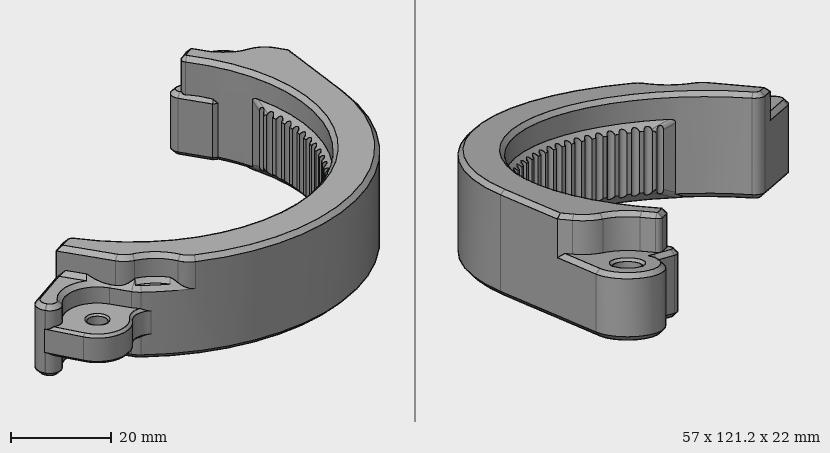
import cadquery as cq
import math

HEIGHT = 22.0
OUTER_R = 49.25
INNER_R = 40.0
EDGE_CHAMFER = 1.0

HINGE_X = -0.1
HINGE_Y = 53.6
HINGE_R = 7.6
HINGE_HEIGHT = 14.0
HINGE_HOLE_D = 6.0
HINGE_HOLE_CHAMFER_D = 7.2
HINGE_CLEARANCE_R = 8.6
HINGE_STEP_Y = 50.95
HINGE_STEP_BLEND_R = 7.0
HINGE_END_X = -4.4
HINGE_END_CORNER_R = 1.2
HINGE_STEP_CORNER_R = 1.1

HOOK_X = -4.45
HOOK_R = 2.3
HOOK_PAD_Y = 39.2
HOOK_Y = HOOK_PAD_Y + HOOK_R
HOOK_NOTCH_X = -4.2
HOOK_NOTCH_Y = 46.8
HOOK_PAD_END_X = 2.9
HOOK_PAD_RAMP = 1.2

SCREW_X = 12.0
SCREW_Y = -53.0
SCREW_HOLE_D = 4.2
SCREW_HOLE_CHAMFER = 0.4
TAB_R = 7.0
TAB_BOTTOM = 5.0
TAB_TOP = 11.4
TAB_CHAMFER = 0.6
TAB_BLEND_R = 4.0

FOOT_HEIGHT = 16.0
FINGER_TIP_X = 0.2
FINGER_TIP_Y = -59.5
FINGER_ROOT_X = 0.65
FINGER_ROOT_Y = -42.0
FINGER_OUTER_R = 3.0
FINGER_INNER_R = 2.5
FOOT_CORNER_R = 2.2
FOOT_BLEND_R = 5.0
FOOT_WALL_Y = -45.5
RELIEF_X = 23.6
RELIEF_Y = -51.2
RELIEF_R = 10.0

PAD_MID_ANGLE = 4.4
PAD_HALF_ANGLE = 68.7
PAD_R = 38.4
PAD_BOTTOM = 0.6
PAD_TOP = 16.5
PAD_CORNER_R = 1.5
PAD_BACK_R = 41.2
GROOVE_COUNT = 33
GROOVE_PITCH_ANGLE = 4.0
GROOVE_R = 0.85
GROOVE_AXIS_R = 38.3

HIDDEN_R = 43.5


def polar(radius, angle):
    return (radius * math.cos(math.radians(angle)), radius * math.sin(math.radians(angle)))


def circle_y(radius, x, side):
    """Height of an origin-centred circle at x, on the +Y (1) or -Y (-1) side."""
    return side * math.sqrt(radius**2 - x**2)


def finger_x(y):
    """X of the leaning end face at the given Y."""
    lean = (FINGER_ROOT_X - FINGER_TIP_X) / (FINGER_ROOT_Y - FINGER_TIP_Y)
    return FINGER_TIP_X + lean * (y - FINGER_TIP_Y)


def cylinder(x, y, radius, bottom, top):
    return cq.Workplane("XY", origin=(x, y, bottom)).circle(radius).extrude(top - bottom)


def round_corner(solid, x, y, radius):
    """Fillet the upright edge nearest to (x, y)."""
    middle = solid.val().BoundingBox().center.z
    selector = cq.selectors.NearestToPointSelector((x, y, middle))
    return solid.edges("|Z").edges(selector).fillet(radius)


HINGE_DISTANCE = math.hypot(HINGE_X, HINGE_Y)
TANGENT_ANGLE = math.degrees(
    math.atan2(HINGE_Y, HINGE_X) - math.acos((OUTER_R - HINGE_R) / HINGE_DISTANCE)
)
RING_TANGENT = polar(OUTER_R, TANGENT_ANGLE)
KNUCKLE_TANGENT = (
    HINGE_X + polar(HINGE_R, TANGENT_ANGLE)[0],
    HINGE_Y + polar(HINGE_R, TANGENT_ANGLE)[1],
)


def make_ring():
    """Full-height C-shaped ring, stepped back at both ends."""
    tangent_slope = (RING_TANGENT[1] - KNUCKLE_TANGENT[1]) / (RING_TANGENT[0] - KNUCKLE_TANGENT[0])
    step_end_x = RING_TANGENT[0] + (HINGE_STEP_Y - RING_TANGENT[1]) / tangent_slope
    step_low_y = HINGE_Y - HINGE_CLEARANCE_R
    step_corner_x = HINGE_X + math.sqrt(HINGE_CLEARANCE_R**2 - (HINGE_STEP_Y - HINGE_Y) ** 2)
    step_mid = (
        HINGE_X + HINGE_CLEARANCE_R * math.sin(math.radians(35)),
        HINGE_Y - HINGE_CLEARANCE_R * math.cos(math.radians(35)),
    )
    hinge_corner = (HINGE_END_X, circle_y(INNER_R, HINGE_END_X, 1))
    foot_corner_y = circle_y(INNER_R, FINGER_ROOT_X, -1)
    foot_corner = (finger_x(foot_corner_y), foot_corner_y)
    wall_end_x = math.sqrt(OUTER_R**2 - FOOT_WALL_Y**2)

    ring = (
        cq.Workplane("XY")
        .moveTo(*hinge_corner)
        .threePointArc((INNER_R, 0), foot_corner)
        .lineTo(finger_x(FOOT_WALL_Y), FOOT_WALL_Y)
        .lineTo(wall_end_x, FOOT_WALL_Y)
        .threePointArc((OUTER_R, 0), RING_TANGENT)
        .lineTo(step_end_x, HINGE_STEP_Y)
        .lineTo(step_corner_x, HINGE_STEP_Y)
        .threePointArc(step_mid, (HINGE_X, step_low_y))
        .lineTo(HINGE_END_X, step_low_y)
        .close()
        .extrude(HEIGHT)
    )
    ring = ring.cut(cylinder(RELIEF_X, RELIEF_Y, RELIEF_R, 0, HEIGHT))
    relief_start_x = RELIEF_X - math.sqrt(RELIEF_R**2 - (FOOT_WALL_Y - RELIEF_Y) ** 2)
    relief_end_x = RELIEF_X + RELIEF_R * math.sin(math.radians(15))
    ring = round_corner(ring, relief_start_x, FOOT_WALL_Y, FOOT_BLEND_R)
    ring = round_corner(ring, relief_end_x, circle_y(OUTER_R, relief_end_x, -1), FOOT_BLEND_R)
    ring = round_corner(ring, *foot_corner, FOOT_CORNER_R)
    ring = round_corner(ring, HINGE_END_X, step_low_y, HINGE_STEP_CORNER_R)
    ring = round_corner(ring, *hinge_corner, HINGE_END_CORNER_R)
    return round_corner(ring, step_corner_x, HINGE_STEP_Y, HINGE_STEP_BLEND_R)


def make_hinge():
    """Knuckle, lower than the ring, with its hooked nose."""
    nose_angle = math.degrees(math.atan2(HOOK_NOTCH_Y - HOOK_Y, HOOK_NOTCH_X - HOOK_X))
    notch_distance = math.hypot(HOOK_NOTCH_X - HOOK_X, HOOK_NOTCH_Y - HOOK_Y)
    nose_angle += math.degrees(math.acos(HOOK_R / notch_distance))
    nose_start = polar(HOOK_R, nose_angle)
    nose_mid = polar(HOOK_R, (nose_angle + 270) / 2)
    pad_end_x = HOOK_PAD_END_X + HOOK_PAD_RAMP
    hidden_end = polar(HIDDEN_R, TANGENT_ANGLE)
    hinge = (
        cq.Workplane("XY")
        .moveTo(HINGE_X, HINGE_Y)
        .lineTo(*KNUCKLE_TANGENT)
        .lineTo(*RING_TANGENT)
        .lineTo(*hidden_end)
        .threePointArc(polar(HIDDEN_R, 70), (pad_end_x, circle_y(HIDDEN_R, pad_end_x, 1)))
        .lineTo(pad_end_x, INNER_R)
        .lineTo(HOOK_PAD_END_X, HOOK_PAD_Y)
        .lineTo(HOOK_X, HOOK_PAD_Y)
        .threePointArc(
            (HOOK_X + nose_mid[0], HOOK_Y + nose_mid[1]),
            (HOOK_X + nose_start[0], HOOK_Y + nose_start[1]),
        )
        .lineTo(HOOK_NOTCH_X, HOOK_NOTCH_Y)
        .close()
        .extrude(HINGE_HEIGHT)
    )
    hinge = hinge.union(cylinder(HINGE_X, HINGE_Y, HINGE_R, 0, HINGE_HEIGHT))
    return hinge.faces(">Z").edges().chamfer(EDGE_CHAMFER)


def make_foot(top, top_chamfer):
    """Finger and ledge at the screw end, hollowed around the screw tab."""
    pocket_top = SCREW_Y + TAB_R
    pocket_end_x = SCREW_X - math.sqrt(TAB_R**2 - (FINGER_TIP_Y - SCREW_Y) ** 2)
    ledge_end_x = math.sqrt(OUTER_R**2 - pocket_top**2)
    hidden_start = polar(OUTER_R, -50)
    root_y = circle_y(HIDDEN_R, FINGER_ROOT_X, -1)
    foot = (
        cq.Workplane("XY")
        .moveTo(finger_x(root_y), root_y)
        .lineTo(FINGER_TIP_X, FINGER_TIP_Y)
        .lineTo(pocket_end_x, FINGER_TIP_Y)
        .threePointArc((SCREW_X - TAB_R, SCREW_Y), (SCREW_X, pocket_top))
        .lineTo(ledge_end_x, pocket_top)
        .threePointArc(polar(OUTER_R, -60), hidden_start)
        .lineTo(*polar(HIDDEN_R, -50))
        .threePointArc(polar(HIDDEN_R, -70), (finger_x(root_y), root_y))
        .close()
        .extrude(top)
    )
    foot = round_corner(foot, FINGER_TIP_X, FINGER_TIP_Y, FINGER_OUTER_R)
    foot = round_corner(foot, pocket_end_x, FINGER_TIP_Y, FINGER_INNER_R)
    foot = round_corner(foot, ledge_end_x, pocket_top, FOOT_BLEND_R)
    return foot.faces(">Z").edges().chamfer(top_chamfer)


def make_tab():
    """Screw tab, flared into the ring."""
    distance = math.hypot(SCREW_X, SCREW_Y)
    direction = math.degrees(math.atan2(SCREW_Y, SCREW_X))
    ring_reach = OUTER_R + TAB_BLEND_R
    tab_reach = TAB_R + TAB_BLEND_R
    swing = math.degrees(
        math.acos((ring_reach**2 + distance**2 - tab_reach**2) / (2 * ring_reach * distance))
    )
    blend = polar(ring_reach, direction + swing)
    blend_to_ring = polar(OUTER_R, direction + swing)
    blend_to_tab = (
        SCREW_X + (blend[0] - SCREW_X) * TAB_R / tab_reach,
        SCREW_Y + (blend[1] - SCREW_Y) * TAB_R / tab_reach,
    )
    toward_screw = math.atan2(SCREW_Y - blend[1], SCREW_X - blend[0])
    toward_ring = math.atan2(-blend[1], -blend[0])
    middle = math.degrees((toward_screw % (2 * math.pi) + toward_ring % (2 * math.pi)) / 2)
    blend_mid = polar(TAB_BLEND_R, middle)

    edge_start = (FINGER_TIP_X + FINGER_OUTER_R, FINGER_TIP_Y)
    edge_distance = math.hypot(SCREW_X - edge_start[0], SCREW_Y - edge_start[1])
    edge_angle = math.degrees(
        math.atan2(edge_start[1] - SCREW_Y, edge_start[0] - SCREW_X)
        + math.acos(TAB_R / edge_distance)
    )
    edge_end = polar(TAB_R, edge_angle)
    side_mid = polar(TAB_R, edge_angle + 60)
    tab = (
        cq.Workplane("XY", origin=(0, 0, TAB_BOTTOM))
        .moveTo(*edge_start)
        .lineTo(SCREW_X + edge_end[0], SCREW_Y + edge_end[1])
        .threePointArc((SCREW_X + side_mid[0], SCREW_Y + side_mid[1]), blend_to_tab)
        .threePointArc((blend[0] + blend_mid[0], blend[1] + blend_mid[1]), blend_to_ring)
        .lineTo(*polar(HIDDEN_R, direction + swing))
        .lineTo(edge_start[0], -HIDDEN_R)
        .close()
        .extrude(TAB_TOP - TAB_BOTTOM)
    )
    return tab.faces("<Z or >Z").edges().chamfer(TAB_CHAMFER)


def make_ledge_slope(ring):
    """Sloped strip in the inside corner between the foot's ledge and the ring wall."""
    outline = ring.faces("<Z").wires().toPending().offset2D(EDGE_CHAMFER)
    strip = outline.extrude(EDGE_CHAMFER, taper=45).translate((0, 0, FOOT_HEIGHT))
    limit = make_foot(FOOT_HEIGHT + EDGE_CHAMFER, 2 * EDGE_CHAMFER)
    return strip.intersect(limit)


def pad_end_angle(radius):
    """Half angle of the pad at a radius; its end faces lie at 45 degrees to its middle axis."""
    reach = INNER_R * math.cos(math.radians(PAD_HALF_ANGLE - 45))
    return 45 + math.degrees(math.acos(reach / radius))


def make_pad():
    """Gripping pad with sloped borders, rounded corners and upright grooves."""
    front_rise = INNER_R - PAD_R
    back_drop = PAD_BACK_R - INNER_R
    band = (
        cq.Workplane("XZ")
        .moveTo(PAD_R, PAD_BOTTOM + front_rise)
        .lineTo(PAD_BACK_R, PAD_BOTTOM - back_drop)
        .lineTo(PAD_BACK_R, PAD_TOP + back_drop)
        .lineTo(PAD_R, PAD_TOP - front_rise)
        .close()
        .revolve(360, (0, 0), (0, 1))
    )
    front_half = pad_end_angle(PAD_R)
    back_half = pad_end_angle(PAD_BACK_R)
    sector = (
        cq.Workplane("XY", origin=(0, 0, PAD_BOTTOM - back_drop))
        .moveTo(*polar(PAD_BACK_R, PAD_MID_ANGLE - back_half))
        .threePointArc(polar(PAD_BACK_R, PAD_MID_ANGLE), polar(PAD_BACK_R, PAD_MID_ANGLE + back_half))
        .lineTo(*polar(PAD_R, PAD_MID_ANGLE + front_half))
        .threePointArc(polar(PAD_R, PAD_MID_ANGLE), polar(PAD_R, PAD_MID_ANGLE - front_half))
        .close()
        .extrude(PAD_TOP - PAD_BOTTOM + 2 * back_drop)
    )
    pad = band.intersect(sector)
    pad = pad.faces("%PLANE").edges("not |Z").fillet(PAD_CORNER_R)
    pad = pad.intersect(cylinder(0, 0, OUTER_R, 0, HEIGHT))

    first = PAD_MID_ANGLE - GROOVE_PITCH_ANGLE * (GROOVE_COUNT - 1) / 2
    for number in range(GROOVE_COUNT):
        x, y = polar(GROOVE_AXIS_R, first + number * GROOVE_PITCH_ANGLE)
        pad = pad.cut(cylinder(x, y, GROOVE_R, -EDGE_CHAMFER, HEIGHT))
    return pad


def drill(body, x, y, diameter, chamfer, bottom, top):
    """Through hole with both rims chamfered."""
    radius = diameter / 2
    half_tool = (
        cq.Workplane("XZ")
        .moveTo(0, bottom)
        .lineTo(radius + chamfer, bottom)
        .lineTo(radius, bottom + chamfer)
        .lineTo(radius, top - chamfer)
        .lineTo(radius + chamfer, top)
        .lineTo(0, top)
        .close()
    )
    return body.cut(half_tool.revolve(360, (0, 0), (0, 1)).translate((x, y, 0)))


def build():
    ring = make_ring()
    body = ring.faces(">Z").edges().chamfer(EDGE_CHAMFER)
    body = body.union(make_hinge()).union(make_foot(FOOT_HEIGHT, EDGE_CHAMFER))
    body = body.faces("<Z").edges().chamfer(EDGE_CHAMFER)
    body = body.union(make_ledge_slope(ring)).union(make_tab()).union(make_pad())
    hinge_chamfer = (HINGE_HOLE_CHAMFER_D - HINGE_HOLE_D) / 2
    body = drill(body, HINGE_X, HINGE_Y, HINGE_HOLE_D, hinge_chamfer, 0, HINGE_HEIGHT)
    return drill(body, SCREW_X, SCREW_Y, SCREW_HOLE_D, SCREW_HOLE_CHAMFER, TAB_BOTTOM, TAB_TOP)


result = build()